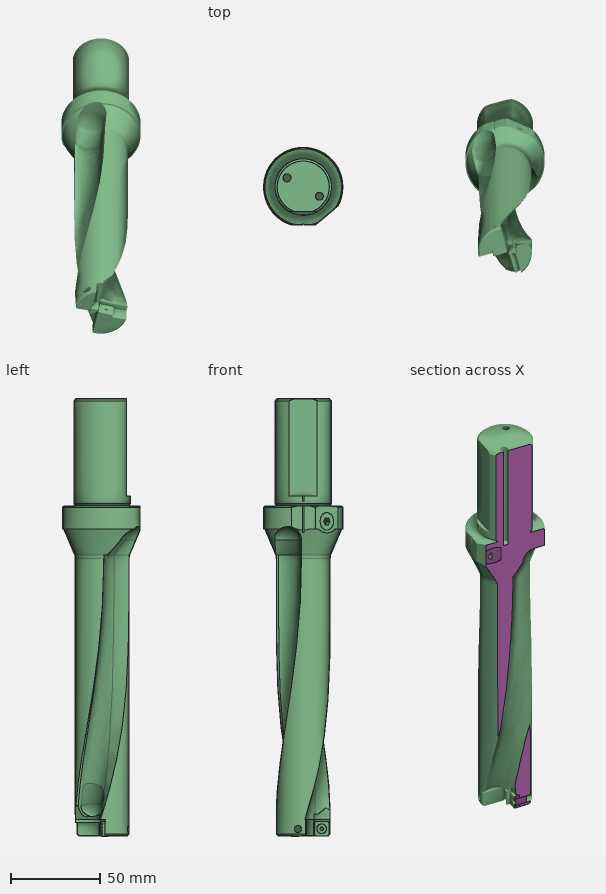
import cadquery as cq
import math

total_length = 245.0
tip_z = 0.5
neck_z = 155.5
cone_bottom_z = 157.5
collar_bottom_z = 172.0
collar_top_z = 185.0

drill_radius = 30.1 / 2
neck_radius = 30.6 / 2
collar_radius = 44.3 / 2
shank_radius = 31.5 / 2
relief_depth = 0.7
relief_radius = shank_radius - relief_depth

shank_chamfer = 1.2
relief_height = 1.5
collar_chamfer = 0.7
tip_chamfer = 1.0

shank_flat_offset = 13.7
shank_flat_bottom_z = 190.5

collar_depth = 43.4
front_flat_offset = collar_depth - collar_radius
plug_flat_offset = 20.5
plug_flat_angle = 40.0
mark_width = 1.0
mark_depth = 0.5
shank_mark_bottom_z = 187.7

coolant_x = 9.0
coolant_y = 5.1
coolant_radius = 2.2
coolant_depth = 63.7

plug_z = 176.5
plug_radius = 5.0
plug_length = 7.3
socket_width = 4.5
socket_depth = 3.0

flute_wall_x = -1.0
flute_wall_start_y = -6.5
flute_land_y = -1.0
flute_land_x = -13.7
flute_reach = 22.0
flute_end_z = 9.5
flute_turn = 90.0
flute_steps = 12

runout_rise = 8.3
runout_shift = 6.4

seat_setback = 1.7
outer_chip_x = 1.5
outer_corner_y = 1.0
outer_rib_x = 5.6
outer_rib_y = -2.2
outer_seat_x = 6.1
inner_chip_x = 1.7
deep_chip_x = 5.6
deep_chip_y = 1.5
deep_chip_top_z = 7.8
slope_top_x = -4.0
slope_top_z = 18.4

gullet_radius = 6.5
gullet_x = -4.0
gullet_y = 5.6
gullet_z = 16.2
gullet_length = 22.0
gullet_tilt = 20.0

ramp_wall_y = 0.7
ramp_start_x = 8.3
ramp_start_z = 12.7
ramp_end_x = 16.0
ramp_end_z = 18.5

insert_size = 8.0
insert_thickness = 3.2
insert_corner_radius = 0.7
outer_insert_x = 10.3
outer_insert_z = 4.5
inner_insert_x = -3.0
inner_insert_tilt = 4.0
screw_head_radius = 2.7
screw_radius = 2.0
screw_head_depth = 1.5
screw_length = 7.8
screw_socket_radius = 1.0
screw_socket_depth = 1.0

floor_across = flute_wall_x - flute_land_x
floor_rise = flute_land_y - flute_wall_start_y
floor_radius = (floor_across**2 + floor_rise**2) / (2 * floor_across)
floor_centre_x = flute_wall_x - floor_radius

tilt = math.radians(inner_insert_tilt)
corner_centre = insert_size / 2 - insert_corner_radius
inner_insert_z = corner_centre * (math.cos(tilt) + math.sin(tilt)) + insert_corner_radius


def box_between(x, y, z):
    """Box from pairs of limits along each axis."""
    size = (x[1] - x[0], y[1] - y[0], z[1] - z[0])
    return cq.Workplane("XY").box(*size, centered=False).translate((x[0], y[0], z[0]))


def turned_blank():
    relief_top_z = collar_top_z + relief_height
    outline = [
        (0, tip_z),
        (drill_radius - tip_chamfer, tip_z),
        (drill_radius, tip_z + tip_chamfer),
        (drill_radius, neck_z),
        (neck_radius, cone_bottom_z),
        (collar_radius - collar_chamfer, collar_bottom_z),
        (collar_radius, collar_bottom_z),
        (collar_radius, collar_top_z - collar_chamfer),
        (collar_radius - collar_chamfer, collar_top_z),
        (relief_radius, collar_top_z),
        (shank_radius, relief_top_z),
        (shank_radius, total_length - shank_chamfer),
        (shank_radius - shank_chamfer, total_length),
        (0, total_length),
    ]
    return cq.Workplane("XZ").polyline(outline).close().revolve(360, (0, 0, 0), (0, 1, 0))


def flat_cut(offset, bottom_z, top_z):
    """Material beyond a flat that faces -Y."""
    reach = 2 * collar_radius
    return box_between((-reach, reach), (-reach, -offset), (bottom_z, top_z))


def plug_turn(shape):
    return shape.rotate((0, 0, 0), (0, 0, 1), plug_flat_angle)


def index_mark():
    """Groove down the front flat of the collar."""
    half = mark_width / 2
    depth_y = mark_depth - front_flat_offset
    return box_between((-half, half), (-collar_radius, depth_y), (cone_bottom_z, collar_top_z))


def shank_mark():
    """Short groove below the clamping flat."""
    half = mark_width / 2
    depth_y = mark_depth - shank_radius
    heights = (shank_mark_bottom_z, shank_flat_bottom_z)
    return box_between((-half, half), (-collar_radius, depth_y), heights)


def coolant_holes():
    places = [(-coolant_x, coolant_y), (coolant_x, -coolant_y)]
    start = cq.Workplane("XY").workplane(offset=total_length)
    return start.pushPoints(places).circle(coolant_radius).extrude(-coolant_depth)


def flute_wire(z, turn):
    """Closed flute section at height z, turned clockwise (seen from above) by `turn` degrees."""
    floor_point = (floor_centre_x, flute_wall_start_y + floor_radius)
    section = (
        cq.Workplane("XY")
        .moveTo(-flute_reach, flute_land_y)
        .lineTo(flute_land_x, flute_land_y)
        .threePointArc(floor_point, (flute_wall_x, flute_wall_start_y))
        .lineTo(flute_wall_x, -flute_reach)
        .lineTo(-flute_reach, -flute_reach)
        .close()
    )
    return section.val().translate(cq.Vector(0, 0, z)).rotate(
        cq.Vector(0, 0, 0), cq.Vector(0, 0, 1), -turn
    )


def flute_cut():
    wires = []
    for step in range(flute_steps + 1):
        share = step / flute_steps
        z = cone_bottom_z + share * (flute_end_z - cone_bottom_z)
        wires.append(flute_wire(z, flute_turn * share**2))
    return cq.Workplane(cq.Solid.makeLoft(wires))


def runout_cut():
    """U-shaped channel that climbs outwards and ends in a ball."""
    left_x = floor_centre_x - floor_radius
    floor_point = (floor_centre_x, flute_wall_start_y + floor_radius)
    channel_section = (
        cq.Workplane("XY")
        .moveTo(flute_wall_x, flute_wall_start_y)
        .threePointArc(floor_point, (left_x, flute_wall_start_y))
        .lineTo(left_x, -flute_reach)
        .lineTo(flute_wall_x, -flute_reach)
        .close()
    )
    climb = cq.Vector(0, -runout_shift, runout_rise)
    channel = cq.Solid.extrudeLinear(channel_section.val(), [], climb)
    ball = cq.Workplane("XY").sphere(floor_radius)
    mouth = cq.Workplane("XZ").circle(floor_radius).extrude(flute_reach)
    ball_centre = (floor_centre_x, flute_wall_start_y - runout_shift, runout_rise)
    end = ball.union(mouth).translate(ball_centre)
    return cq.Workplane(channel).union(end).translate((0, 0, cone_bottom_z))


def half_turn(shape):
    return shape.rotate((0, 0, 0), (0, 0, 1), 180)


def inner_chip_space():
    reach = flute_reach
    shallow = box_between((-reach, inner_chip_x), (-seat_setback, reach), (0, flute_end_z))
    deep = box_between((-reach, deep_chip_x), (deep_chip_y, reach), (0, deep_chip_top_z))
    slope = [
        (inner_chip_x, flute_end_z),
        (slope_top_x, slope_top_z),
        (-reach, slope_top_z),
        (-reach, flute_end_z),
    ]
    sloped = cq.Workplane("XZ").polyline(slope).close().extrude(-reach)
    return shallow.union(deep).union(sloped.translate((0, deep_chip_y, 0)))


def inner_gullet():
    """Round-nosed cutter that leans out of the flute floor as it rises."""
    gullet = cq.Workplane("XY").circle(gullet_radius).extrude(gullet_length)
    gullet = gullet.union(cq.Workplane("XY").sphere(gullet_radius))
    leaning = gullet.rotate((0, 0, 0), (0, 1, 0), -gullet_tilt)
    return leaning.translate((gullet_x, gullet_y, gullet_z))


def outer_chip_space():
    reach = flute_reach
    outline = [
        (outer_chip_x, outer_corner_y),
        (outer_rib_x, outer_rib_y),
        (outer_seat_x, outer_rib_y),
        (outer_seat_x, -reach),
        (outer_chip_x, -reach),
    ]
    front = cq.Workplane("XY").polyline(outline).close().extrude(flute_end_z)
    seat = box_between((outer_seat_x, reach), (-reach, seat_setback), (0, flute_end_z))
    return front.union(seat)


def outer_ramp():
    """Flat-walled pocket above the outer insert with a sloped upper end."""
    outline = [
        (outer_seat_x, flute_end_z),
        (outer_seat_x, ramp_start_z),
        (ramp_start_x, ramp_start_z),
        (ramp_end_x, ramp_end_z),
        (ramp_end_x, flute_end_z),
    ]
    prism = cq.Workplane("XZ").polyline(outline).close().extrude(flute_reach)
    wall = cq.Workplane("XZ").polyline(outline).close().extrude(-ramp_wall_y)
    return prism.union(wall)


def place_outer(shape):
    """Cutting face towards -Y on the +X side."""
    return shape.translate((outer_insert_x, 0, outer_insert_z))


def place_inner(shape):
    """Cutting face towards +Y, covering the drill axis, outer corner lowest."""
    tilted = shape.rotate((0, 0, 0), (0, 1, 0), inner_insert_tilt)
    return half_turn(tilted).translate((inner_insert_x, 0, inner_insert_z))


def insert_blank():
    """Square insert centred on the origin, cutting face at y = 0 towards -Y."""
    plate = cq.Workplane("XZ").rect(insert_size, insert_size).extrude(-insert_thickness)
    return plate.edges("|Y").fillet(insert_corner_radius)


def screw_blank(length):
    """Countersunk screw shape along +Y with its head face at y = 0."""
    outline = [
        (0, 0),
        (screw_head_radius, 0),
        (screw_radius, screw_head_depth),
        (screw_radius, length),
        (0, length),
    ]
    return cq.Workplane("XY").polyline(outline).close().revolve(360, (0, 0, 0), (0, 1, 0))


def make_insert():
    return insert_blank().cut(screw_blank(screw_length))


def make_screw():
    socket = cq.Workplane("XZ").circle(screw_socket_radius).extrude(-screw_socket_depth)
    return screw_blank(screw_length).cut(socket)


def plug_blank():
    plug = cq.Workplane("XZ").circle(plug_radius).extrude(-plug_length)
    return plug_turn(plug.translate((0, -plug_flat_offset, plug_z)))


def make_plug():
    socket = cq.Workplane("XZ").polygon(6, socket_width).extrude(-socket_depth)
    return plug_blank().cut(plug_turn(socket.translate((0, -plug_flat_offset, plug_z))))


def make_body():
    body = turned_blank()
    body = body.cut(flat_cut(shank_flat_offset, shank_flat_bottom_z, total_length))
    body = body.cut(flat_cut(front_flat_offset, cone_bottom_z, collar_top_z))
    body = body.cut(plug_turn(flat_cut(plug_flat_offset, cone_bottom_z, collar_top_z)))
    body = body.cut(index_mark()).cut(shank_mark()).cut(coolant_holes()).cut(plug_blank())
    flute = flute_cut()
    runout = runout_cut()
    for cutter in (flute, runout):
        body = body.cut(cutter).cut(half_turn(cutter))
    body = body.cut(inner_chip_space()).cut(inner_gullet()).cut(outer_chip_space())
    body = body.cut(outer_ramp())
    for place in (place_outer, place_inner):
        screw_hole = screw_blank(2 * drill_radius)
        body = body.cut(place(insert_blank())).cut(place(screw_hole))
    return body


body = make_body()
plug = make_plug()
inserts = [place(make_insert()) for place in (place_outer, place_inner)]
screws = [place(make_screw()) for place in (place_outer, place_inner)]

result = cq.Compound.makeCompound(
    [body.val(), plug.val()] + [piece.val() for piece in inserts + screws]
)